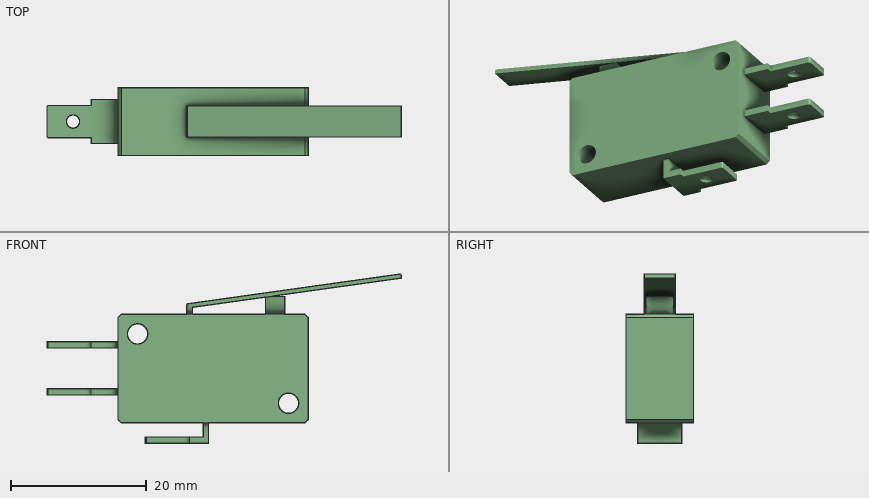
import cadquery as cq
import math

overall_length = 52.19
overall_height = 24.94

case_length = 28.0
case_width = 10.0
case_height = 16.0
case_chamfer = 0.5

mount_hole_diameter = 2.95
mount_hole_inset = 2.9

blade_thickness = 0.95
blade_tip_length = 6.5
blade_tip_width = 4.8
blade_tip_chamfer = 0.2
shoulder_width = 6.5
blade_hole_diameter = 1.9
blade_hole_from_tip = 3.85

side_terminal_length = 10.45
side_terminal_bottoms = (4.1, 11.0)

bottom_terminal_drop = 3.0
bottom_terminal_length = 9.35
bottom_leg_thickness = 0.8
bottom_leg_end_x = 13.35

plunger_start_x = 21.7
plunger_length = 2.85
plunger_width = 4.0
plunger_contact_length = 0.9

lever_width = 4.6
lever_thickness = 0.65
lever_angle = math.radians(7.97)
lever_start_x = 10.1
lever_corner_chamfer = 0.15
lever_post_thickness = 0.9
lever_end_x = overall_length - side_terminal_length
lever_top_z = overall_height - bottom_terminal_drop
lever_slope = math.tan(lever_angle)
lever_end_bottom_z = lever_top_z - lever_thickness * math.cos(lever_angle)


def centred_box(x_start, z_start, length, width, height):
    """Box starting at the given X and Z, centred on the Y = 0 plane."""
    return (
        cq.Workplane("XY")
        .box(length, width, height, centered=(False, True, False))
        .translate((x_start, 0, z_start))
    )


def make_case():
    case = centred_box(0, 0, case_length, case_width, case_height)
    case = case.edges("|Y").chamfer(case_chamfer)
    hole_centres = [
        (mount_hole_inset, case_height - mount_hole_inset),
        (case_length - mount_hole_inset, mount_hole_inset),
    ]
    holes = (
        cq.Workplane("XZ")
        .pushPoints(hole_centres)
        .circle(mount_hole_diameter / 2)
        .extrude(case_width / 2, both=True)
    )
    return case.cut(holes)


def make_blade(tip_x, z_start, length):
    """Flat terminal pointing to -X: a narrow drilled tip and a wider shoulder."""
    tip = centred_box(tip_x, z_start, blade_tip_length, blade_tip_width, blade_thickness)
    tip = tip.edges("|Z and <X").chamfer(blade_tip_chamfer)
    shoulder = centred_box(
        tip_x + blade_tip_length, z_start, length - blade_tip_length, shoulder_width, blade_thickness
    )
    hole = (
        cq.Workplane("XY", origin=(tip_x + blade_hole_from_tip, 0, z_start))
        .circle(blade_hole_diameter / 2)
        .extrude(blade_thickness)
    )
    return tip.union(shoulder).cut(hole)


def make_bottom_terminal():
    blade = make_blade(
        bottom_leg_end_x - bottom_terminal_length, -bottom_terminal_drop, bottom_terminal_length
    )
    leg = centred_box(
        bottom_leg_end_x - bottom_leg_thickness,
        -bottom_terminal_drop,
        bottom_leg_thickness,
        shoulder_width,
        bottom_terminal_drop,
    )
    return blade.union(leg)


def lever_underside(x):
    """Height of the underside of the lever at the given X."""
    return lever_end_bottom_z - (lever_end_x - x) * lever_slope


def make_lever():
    """Sloping strip: upright at the post with a broken top corner, square-cut at the free end."""
    vertical_thickness = lever_thickness / math.cos(lever_angle)
    start_bottom_z = lever_underside(lever_start_x)
    strip = (
        cq.Workplane("XZ")
        .moveTo(lever_start_x, start_bottom_z)
        .lineTo(lever_start_x, start_bottom_z + vertical_thickness)
        .lineTo(lever_end_x - lever_thickness * math.sin(lever_angle), lever_top_z)
        .lineTo(lever_end_x, lever_end_bottom_z)
        .close()
        .extrude(lever_width / 2, both=True)
    )
    top_corner = cq.selectors.NearestToPointSelector(
        (lever_start_x, 0, start_bottom_z + vertical_thickness)
    )
    return strip.edges("|Y").edges(top_corner).chamfer(lever_corner_chamfer)


def make_lever_post():
    post_top = lever_underside(lever_start_x + lever_post_thickness)
    return centred_box(
        lever_start_x, case_height, lever_post_thickness, lever_width, post_top - case_height
    )


def make_plunger():
    """Flat-topped block; the lever rests on the edge of it nearest the post."""
    top = lever_underside(plunger_start_x + plunger_contact_length)
    return centred_box(plunger_start_x, case_height, plunger_length, plunger_width, top - case_height)


result = make_case()
for terminal_bottom in side_terminal_bottoms:
    result = result.union(make_blade(-side_terminal_length, terminal_bottom, side_terminal_length))
result = result.union(make_bottom_terminal())
result = result.union(make_plunger())
result = result.union(make_lever_post())
result = result.union(make_lever())